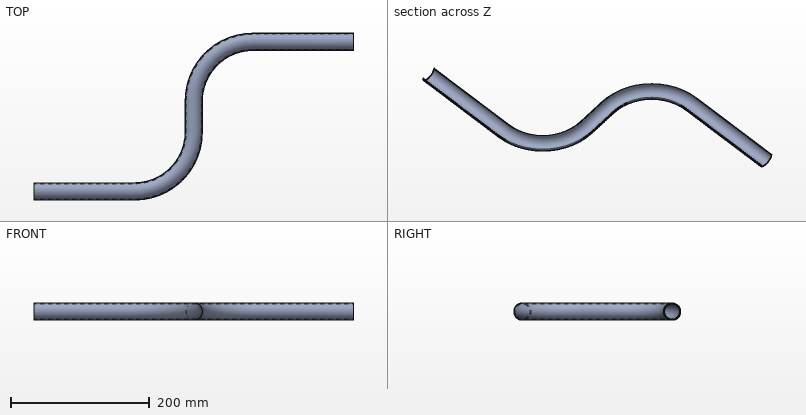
import cadquery as cq

total_length = 460.0
total_width = 240.0
tube_diameter = 25.0
wall_thickness = 1.5
bend_radius = 85.0

half_length = total_length / 2
half_offset = (total_width - tube_diameter) / 2
half_middle = half_offset - bend_radius

centreline = (
    cq.Workplane("XY")
    .moveTo(-half_length, -half_offset)
    .lineTo(-bend_radius, -half_offset)
    .tangentArcPoint((0, -half_middle), relative=False)
    .lineTo(0, half_middle)
    .tangentArcPoint((bend_radius, half_offset), relative=False)
    .lineTo(half_length, half_offset)
)

outer_radius = tube_diameter / 2
result = (
    cq.Workplane("YZ", origin=(-half_length, -half_offset, 0))
    .circle(outer_radius)
    .circle(outer_radius - wall_thickness)
    .sweep(centreline)
)